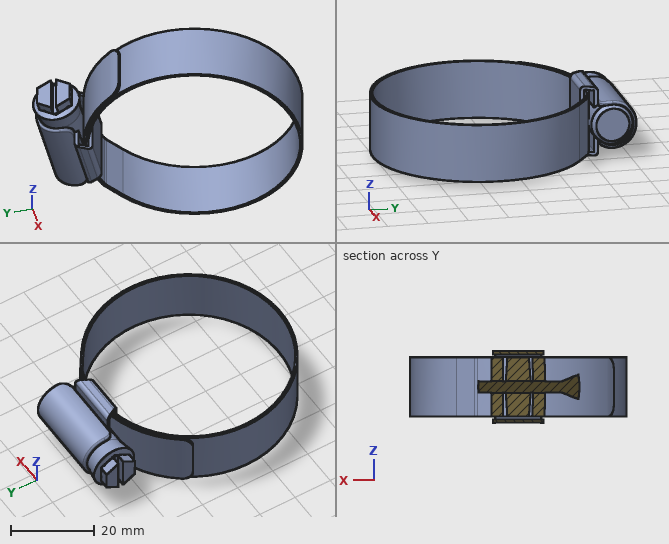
import cadquery as cq
import math


band_radius = 26.05
band_thickness = 0.55
band_width = 14.3
tail_gap = 0.05
tail_angle = 149.5
tail_corner_radius = 2.75
step_angle = 67.6
step_bend_radius = 3.15
ring_end_angle = 79.0

sheet = 0.9
screw_axis_y = 30.75
dome_radius = 5.95
housing_length = 21.0
dome_corner_radius = 2.8
rim_fillet = 0.5
loop_y_bottom = 23.95
loop_height = 17.3
loop_length_top = 14.4
loop_length_bottom = 10.15
loop_bend_radius = 1.1
loop_inner_radius = loop_bend_radius - sheet

shank_radius = dome_radius - sheet
shank_chamfer = 1.0
head_radius = 5.7
head_length = 4.0
face_radius = 4.0
face_height = 0.5
hex_across_flats = 8.0
hex_end_x = -17.55
slot_width = 1.3
slot_depth = 2.2

housing_end = housing_length / 2
dome_drop = dome_corner_radius
loop_y_top = screw_axis_y - dome_drop
tail_outer = band_radius + tail_gap + band_thickness
rim_x = -housing_end - head_length
face_x = rim_x - face_height


def polar(radius, angle):
    """Point at the given radius and angle (degrees) about the band axis."""
    return radius * math.cos(math.radians(angle)), radius * math.sin(math.radians(angle))


def make_shank():
    """Screw shank, flush with both ends of the housing."""
    shank = cq.Workplane("YZ", origin=(-housing_end, screw_axis_y, 0)).circle(shank_radius)
    return shank.extrude(housing_length).faces(">X").chamfer(shank_chamfer)


def make_screw():
    """Chamfered shank, flared collar with a bevelled face, and a slotted hex."""
    collar = (
        cq.Workplane("XY")
        .moveTo(-housing_end, 0)
        .lineTo(-housing_end, shank_radius)
        .lineTo(rim_x, head_radius)
        .lineTo(face_x, face_radius)
        .lineTo(face_x, 0)
        .close()
        .revolve(360, (0, 0, 0), (1, 0, 0))
        .translate((0, screw_axis_y, 0))
    )
    hex_diameter = hex_across_flats / math.cos(math.radians(30))
    hexagon = (
        cq.Workplane("YZ", origin=(hex_end_x, screw_axis_y, 0))
        .transformed(rotate=(0, 0, 90))
        .polygon(6, hex_diameter)
        .extrude(face_x - hex_end_x)
    )
    slot = cq.Workplane("XY").box(slot_depth, slot_width, hex_diameter)
    slot = slot.translate((hex_end_x + slot_depth / 2, screw_axis_y, 0))
    return make_shank().union(collar).union(hexagon.cut(slot))


def make_dome():
    """Arched saddle over the screw, with rounded lower corners and a rounded rim at each end."""
    foot_half_width = math.sqrt(dome_radius**2 - dome_drop**2)
    arch = (
        cq.Workplane("YZ", origin=(-housing_end, 0, 0))
        .moveTo(loop_y_top, -foot_half_width)
        .threePointArc((screw_axis_y + dome_radius, 0), (loop_y_top, foot_half_width))
        .close()
        .extrude(housing_length)
    )
    dome_height = dome_drop + dome_radius
    rounded_outline = (
        cq.Workplane("XY")
        .box(housing_length, dome_height, 2 * dome_radius)
        .translate((0, loop_y_top + dome_height / 2, 0))
        .edges("|Z and <Y")
        .fillet(dome_corner_radius)
    )
    arch = arch.intersect(rounded_outline)
    rim = arch.faces("<X or >X").edges("not <Y")
    return rim.fillet(rim_fillet)


def make_loop():
    """Rectangular sheet loop that holds the band, tapering in length away from the screw."""
    loop_depth = loop_y_top - loop_y_bottom
    loop_center_y = (loop_y_top + loop_y_bottom) / 2

    def block(inset, bend_radius):
        body = cq.Workplane("XY").box(loop_length_top, loop_depth - 2 * inset, loop_height - 2 * inset)
        return body.edges("|X").fillet(bend_radius).translate((0, loop_center_y, 0))

    taper = (
        cq.Workplane("XY")
        .moveTo(-loop_length_top / 2, loop_y_top)
        .lineTo(loop_length_top / 2, loop_y_top)
        .lineTo(loop_length_bottom / 2, loop_y_bottom)
        .lineTo(-loop_length_bottom / 2, loop_y_bottom)
        .close()
        .extrude(loop_height / 2, both=True)
    )
    return block(0, loop_bend_radius).cut(block(sheet, loop_inner_radius)).intersect(taper)


def make_housing():
    """Dome and loop joined, with a channel for the shank down into the loop."""
    channel = cq.Workplane("YZ", origin=(-housing_end, screw_axis_y, 0)).circle(shank_radius)
    return make_dome().union(make_loop()).cut(channel.extrude(housing_length))


def make_band():
    """Ring whose end steps outwards and overlaps itself as a tail with rounded corners."""
    ring_inner = band_radius - band_thickness
    tail_inner = tail_outer - band_thickness
    join_angle = step_angle - math.degrees(math.acos(band_radius / tail_outer))
    inner_step_angle = join_angle + math.degrees(math.acos(ring_inner / tail_inner))
    opposite_angle = 270
    mid_tail_angle = (step_angle + tail_angle) / 2
    strip = (
        cq.Workplane("XY", origin=(0, 0, -band_width / 2))
        .moveTo(*polar(band_radius, ring_end_angle))
        .threePointArc(polar(band_radius, opposite_angle), polar(band_radius, join_angle))
        .lineTo(*polar(tail_outer, step_angle))
        .threePointArc(polar(tail_outer, mid_tail_angle), polar(tail_outer, tail_angle))
        .lineTo(*polar(tail_inner, tail_angle))
        .threePointArc(polar(tail_inner, mid_tail_angle), polar(tail_inner, inner_step_angle))
        .lineTo(*polar(ring_inner, join_angle))
        .threePointArc(polar(ring_inner, opposite_angle), polar(ring_inner, ring_end_angle))
        .close()
        .extrude(band_width)
    )
    for radius, angle, bend in (
        (tail_outer, step_angle, step_bend_radius + band_thickness),
        (tail_inner, inner_step_angle, step_bend_radius),
    ):
        step_edge = cq.selectors.NearestToPointSelector((*polar(radius, angle), 0))
        strip = strip.edges(step_edge).fillet(bend)
    tail_end = cq.selectors.NearestToPointSelector((*polar(tail_outer, tail_angle), 0))
    strip = strip.faces(tail_end).edges("#Z").edges("<Z or >Z").fillet(tail_corner_radius)
    return strip.cut(make_shank())


screw = make_screw()
housing = make_housing()
band = make_band()

result = cq.Compound.makeCompound([band.val(), housing.val(), screw.val()])